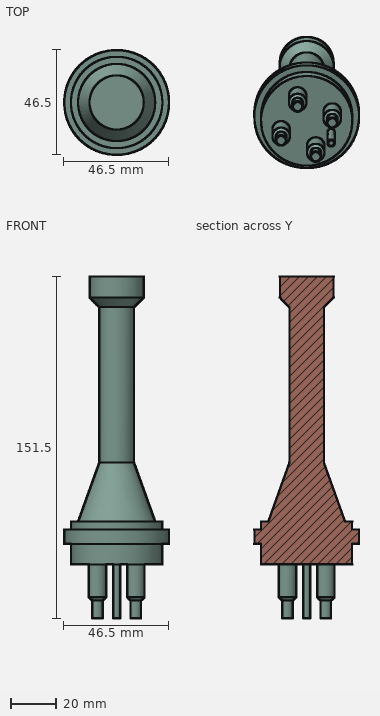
import cadquery as cq
import math

overall_height = 151.5

body_diameter = 40.5
flange_diameter = 46.5
body_bottom_z = 24.0
flange_bottom_z = 33.1
flange_top_z = 39.5
body_top_z = 43.0

cone_base_diameter = 34.2
cone_top_z = 69.0
stem_diameter = 15.5
head_diameter = 24.0
head_rim_height = 9.4

pin_circle_diameter = 24.0
main_pin_count = 4
main_pin_diameter = 7.8
main_pin_tip_diameter = 4.8
main_pin_tip_length = 8.0
guide_pin_diameter = 3.2
pin_end_chamfer = 0.3

pin_circle_radius = pin_circle_diameter / 2
head_rim_z = overall_height - head_rim_height
head_taper_height = (head_diameter - stem_diameter) / 2
main_pin_taper_height = (main_pin_diameter - main_pin_tip_diameter) / 2


def revolve_about_z(profile):
    """Revolve a closed (radius, height) profile about the Z axis."""
    return cq.Workplane("XZ").polyline(profile).close().revolve(360, (0, 0), (0, 1))


def make_turned_body():
    """Base, cone, stem and head as one revolved profile."""
    body_radius = body_diameter / 2
    flange_radius = flange_diameter / 2
    stem_radius = stem_diameter / 2
    head_radius = head_diameter / 2
    return revolve_about_z([
        (0, body_bottom_z),
        (body_radius, body_bottom_z),
        (body_radius, flange_bottom_z),
        (flange_radius, flange_bottom_z),
        (flange_radius, flange_top_z),
        (body_radius, flange_top_z),
        (body_radius, body_top_z),
        (cone_base_diameter / 2, body_top_z),
        (stem_radius, cone_top_z),
        (stem_radius, head_rim_z - head_taper_height),
        (head_radius, head_rim_z),
        (head_radius, overall_height),
        (0, overall_height),
    ])


def make_main_pin():
    """Stepped pin with a tapered shoulder and a chamfered tip."""
    pin_radius = main_pin_diameter / 2
    tip_radius = main_pin_tip_diameter / 2
    return revolve_about_z([
        (0, 0),
        (tip_radius - pin_end_chamfer, 0),
        (tip_radius, pin_end_chamfer),
        (tip_radius, main_pin_tip_length),
        (pin_radius, main_pin_tip_length + main_pin_taper_height),
        (pin_radius, body_bottom_z),
        (0, body_bottom_z),
    ])


def make_guide_pin():
    """Thin straight pin with a chamfered end."""
    pin = cq.Workplane("XY").circle(guide_pin_diameter / 2).extrude(body_bottom_z)
    return pin.faces("<Z").chamfer(pin_end_chamfer)


result = make_turned_body()

pin_spacing_angle = 2 * math.pi / main_pin_count
for index in range(main_pin_count):
    angle = (index + 0.5) * pin_spacing_angle
    pin_x = pin_circle_radius * math.cos(angle)
    pin_y = pin_circle_radius * math.sin(angle)
    result = result.union(make_main_pin().translate((pin_x, pin_y, 0)))

result = result.union(make_guide_pin().translate((0, pin_circle_radius, 0)))